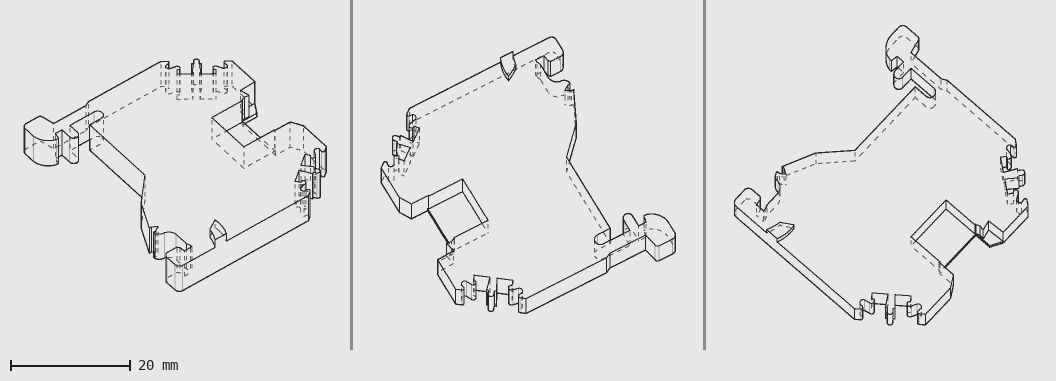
import cadquery as cq
import math


body_thickness = 6.0
tab_height = 1.8
body_half_width = 20.0
overall_height = 37.0
overall_width = 42.36
foot_left = body_half_width - overall_width

pocket_bottom = 26.12
pocket_top = 32.72
pocket_floor = 0.9
pocket_half_width = 4.35
mouth_half_width = 4.5
mouth_step_y = 32.6
head_shoulder_x = 6.55
head_shoulder_y = 35.82
bevel_low_y = 27.56
bevel_top_x = 12.77

socket_depth = 3.0
socket_half_width = 3.27
socket_overcut = 2.0

channel_corner = (0.97, 3.25)
lip_base = (1.1, 2.8)
lip_mid = (1.66, 2.85)
lip_end = (1.75, 3.5)
undercut_start = (1.32, 4.4)
undercut_mid = (1.46, 5.0)
undercut_end = (2.05, 5.1)
nib_start = (2.5, 4.65)
nib_mid = (2.83, 4.62)
opening_half_width = 4.9

finger_length = 3.5
finger_base_half_width = 0.6
finger_head_start = 2.4
finger_head_half_width = 0.82
finger_tip_half_width = 0.48

rail_half_width = 17.49
plate_bottom = 9.02
left_jog_top = 12.21
left_jog_bottom = 11.3
stem_left = -19.53
flex_slot_width = 1.92
flex_slot_top = 12.44
flex_slot_radius = flex_slot_width / 2
flex_slot_right = -rail_half_width + flex_slot_width
flex_slot_center_y = flex_slot_top - flex_slot_radius

spring_length = 2.95
spring_bottom = 4.66
spring_top = 6.34
heel_shoulder_y = 4.5
heel_top = 3.98
heel_corner = 0.9
heel_top_corner = 0.5
heel_sweep_start = (-19.25, 0)
heel_sweep_mid = (-17.1, 1.05)
heel_toe_x = -16.28
heel_toe_low_y = 2.55
heel_toe_y = 3.02

hook_x = 16.02
hook_top = 3.24
hook_tip_y = 3.1
hook_corner = 0.9
hook_tip_width = 0.4
hook_tip_drop = 0.3

belly_start_x = -0.59
belly_knee = (4.13, 4.5)
belly_low_y = 1.92
notch_x = 10.26
notch_half_width = 0.6
notch_shoulder_y = 2.36
notch_top = 3.27
rail_seat_y = 4.55
rail_seat_relief_y = 4.83
nose_start_x = 11.2
nose_mid = (11.79, 2.3)
nose_end = (12.08, 3.2)
hollow_mid = (12.6, 4.12)
rail_seat_start_x = 13.6
rail_seat_end_x = 16.39
relief_start_x = 17.1

relief_corner_deep = (-6.42, 33.86)
relief_corner_inner = (-4.61, 34.24)
relief_corner_low = (-4.8, 33.39)

tab_top_corner = (16.31, 10.64)
tab_top_mid = (18.6, 10.6)
tab_edge_top = 10.17
tab_edge_bottom = 7.78
tab_bottom_mid = (18.75, 8.3)
tab_bottom_corner = (17.57, 8.55)

CORNER_MID = 1 - math.sqrt(0.5)


def extrude_body(outline):
    return outline.close().extrude(body_thickness)


def socket_plane():
    """Plane on the socket floor: local x points out of the bevel, local y along it."""
    run = body_half_width - bevel_top_x
    rise = overall_height - bevel_low_y
    length = math.hypot(run, rise)
    out_x = rise / length
    out_y = run / length
    origin_x = (body_half_width + bevel_top_x) / 2 - socket_depth * out_x
    origin_y = (bevel_low_y + overall_height) / 2 - socket_depth * out_y
    return cq.Plane(origin=(origin_x, origin_y, 0), xDir=(out_x, out_y, 0), normal=(0, 0, 1))


def make_socket():
    """Open channel with a rounded lip and an undercut at each end, symmetric about its axis."""
    half_outline = (
        cq.Workplane(socket_plane())
        .lineTo(0, socket_half_width)
        .lineTo(*channel_corner)
        .lineTo(*lip_base)
        .threePointArc(lip_mid, lip_end)
        .lineTo(*undercut_start)
        .threePointArc(undercut_mid, undercut_end)
        .lineTo(*nib_start)
        .threePointArc(nib_mid, (socket_depth, opening_half_width))
        .lineTo(socket_depth + socket_overcut, opening_half_width)
        .lineTo(socket_depth + socket_overcut, 0)
    )
    return half_outline.mirrorX().extrude(body_thickness)


def make_finger():
    """Finger with a flared neck, a step on each side and a round tip."""
    tip_center = finger_length - finger_tip_half_width
    half_outline = (
        cq.Workplane(socket_plane())
        .lineTo(0, finger_base_half_width)
        .lineTo(finger_head_start, finger_head_half_width)
        .lineTo(finger_head_start, finger_tip_half_width)
        .lineTo(tip_center, finger_tip_half_width)
        .threePointArc(
            (
                tip_center + finger_tip_half_width * math.sqrt(0.5),
                finger_tip_half_width * math.sqrt(0.5),
            ),
            (finger_length, 0),
        )
    )
    return half_outline.mirrorX().extrude(body_thickness)


def make_head():
    """Right-hand terminal head above the level of the pocket bottom."""
    outline = (
        cq.Workplane("XY")
        .moveTo(pocket_half_width, pocket_bottom)
        .lineTo(body_half_width, pocket_bottom)
        .lineTo(body_half_width, bevel_low_y)
        .lineTo(bevel_top_x, overall_height)
        .lineTo(head_shoulder_x, overall_height)
        .lineTo(mouth_half_width, head_shoulder_y)
        .lineTo(mouth_half_width, mouth_step_y)
        .lineTo(pocket_half_width, mouth_step_y)
    )
    return extrude_body(outline).cut(make_socket()).union(make_finger())


def make_pocket_floor():
    width = 2 * mouth_half_width
    height = pocket_top - pocket_bottom
    center_y = (pocket_top + pocket_bottom) / 2
    return (
        cq.Workplane("XY")
        .center(0, center_y)
        .rect(width, height)
        .extrude(pocket_floor)
    )


def make_corner_relief():
    """Recess sunk to the pocket floor in the inner corner of the left head."""
    return (
        cq.Workplane("XY")
        .workplane(offset=pocket_floor)
        .moveTo(-head_shoulder_x, overall_height)
        .lineTo(*relief_corner_deep)
        .lineTo(*relief_corner_inner)
        .lineTo(*relief_corner_low)
        .lineTo(-mouth_half_width, pocket_top)
        .lineTo(-mouth_half_width, overall_height)
        .close()
        .extrude(body_thickness)
    )


def make_plate():
    """Main plate below the heads, with the sloped belly, its V notch and the rail seat."""
    outline = (
        cq.Workplane("XY")
        .moveTo(-body_half_width, pocket_bottom)
        .lineTo(-body_half_width, left_jog_top)
        .lineTo(stem_left, left_jog_bottom)
        .lineTo(stem_left, plate_bottom)
        .lineTo(belly_start_x, plate_bottom)
        .lineTo(*belly_knee)
        .lineTo(notch_x - notch_half_width, belly_low_y)
        .lineTo(notch_x - notch_half_width, notch_shoulder_y)
        .lineTo(notch_x, notch_top)
        .lineTo(notch_x + notch_half_width, notch_shoulder_y)
        .lineTo(notch_x + notch_half_width, belly_low_y)
        .lineTo(nose_start_x, belly_low_y)
        .threePointArc(nose_mid, nose_end)
        .threePointArc(hollow_mid, (rail_seat_start_x, rail_seat_y))
        .lineTo(rail_seat_end_x, rail_seat_y)
        .lineTo(relief_start_x, rail_seat_relief_y)
        .lineTo(body_half_width, rail_seat_relief_y)
        .lineTo(body_half_width, pocket_bottom)
    )
    return extrude_body(outline)


def make_flex_slot():
    """Round-ended slot that frees the stem of the latch foot."""
    outline = (
        cq.Workplane("XY")
        .moveTo(-rail_half_width, plate_bottom)
        .lineTo(-rail_half_width, flex_slot_center_y)
        .threePointArc(
            (-rail_half_width + flex_slot_radius, flex_slot_top),
            (flex_slot_right, flex_slot_center_y),
        )
        .lineTo(flex_slot_right, plate_bottom)
    )
    return extrude_body(outline)


def make_latch_foot():
    """Left foot: a thin stem, a round-ended spring finger and a curved heel."""
    spring_end = -rail_half_width + spring_length
    spring_radius = (spring_top - spring_bottom) / 2
    corner_mid = heel_corner * CORNER_MID
    top_corner_mid = heel_top_corner * CORNER_MID
    outline = (
        cq.Workplane("XY")
        .moveTo(stem_left, plate_bottom)
        .lineTo(stem_left, heel_shoulder_y)
        .lineTo(foot_left + heel_top_corner, heel_top)
        .threePointArc(
            (foot_left + top_corner_mid, heel_top - top_corner_mid),
            (foot_left, heel_top - heel_top_corner),
        )
        .lineTo(foot_left, heel_corner)
        .threePointArc((foot_left + corner_mid, corner_mid), (foot_left + heel_corner, 0))
        .lineTo(*heel_sweep_start)
        .threePointArc(heel_sweep_mid, (heel_toe_x, heel_toe_low_y))
        .lineTo(heel_toe_x, heel_toe_y)
        .lineTo(-rail_half_width, hook_top)
        .lineTo(-rail_half_width, spring_bottom)
        .lineTo(spring_end - spring_radius, spring_bottom)
        .threePointArc(
            (spring_end, spring_bottom + spring_radius),
            (spring_end - spring_radius, spring_top),
        )
        .lineTo(-rail_half_width, spring_top)
        .lineTo(-rail_half_width, plate_bottom)
    )
    return extrude_body(outline)


def make_fixed_foot():
    """Right foot: a solid leg with a hook that grips under the rail edge."""
    corner_mid = hook_corner * CORNER_MID
    outline = (
        cq.Workplane("XY")
        .moveTo(body_half_width, rail_seat_relief_y)
        .lineTo(rail_half_width, rail_seat_relief_y)
        .lineTo(rail_half_width, hook_top)
        .lineTo(hook_x + hook_tip_width, hook_tip_y)
        .lineTo(hook_x, hook_tip_y - hook_tip_drop)
        .lineTo(hook_x, hook_corner)
        .threePointArc((hook_x + corner_mid, corner_mid), (hook_x + hook_corner, 0))
        .lineTo(body_half_width - hook_corner, 0)
        .threePointArc((body_half_width - corner_mid, corner_mid), (body_half_width, hook_corner))
    )
    return extrude_body(outline)


def make_tab():
    """Raised tab on the front face, curved on its two long sides."""
    return (
        cq.Workplane("XY")
        .workplane(offset=body_thickness)
        .moveTo(*tab_top_corner)
        .threePointArc(tab_top_mid, (body_half_width, tab_edge_top))
        .lineTo(body_half_width, tab_edge_bottom)
        .threePointArc(tab_bottom_mid, tab_bottom_corner)
        .close()
        .extrude(tab_height)
    )


head = make_head()
result = (
    make_plate()
    .cut(make_flex_slot())
    .union(make_latch_foot())
    .union(make_fixed_foot())
    .union(head)
    .union(head.mirror("YZ"))
    .cut(make_corner_relief())
    .union(make_pocket_floor())
    .union(make_tab())
    .clean()
)